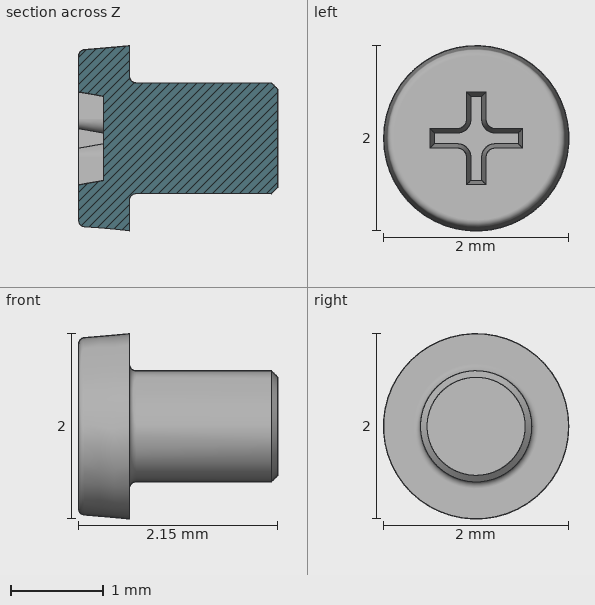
import cadquery as cq
import math

total_length = 2.15
head_diameter = 2.0
head_height = 0.55
head_draft = 5.0
head_edge_radius = 0.07
shank_diameter = 1.2
neck_fillet = 0.07
tip_chamfer = 0.07

recess_span = 1.0
recess_arm_width = 0.21
recess_corner_radius = 0.099
recess_depth = 0.269
recess_draft = 10.0


def make_body():
    """Revolve the drafted head and the shank, then round the head edge and the neck."""
    head_radius = head_diameter / 2
    face_radius = head_radius - head_height * math.tan(math.radians(head_draft))
    shank_radius = shank_diameter / 2
    body = (
        cq.Workplane("XY")
        .moveTo(0, 0)
        .lineTo(0, face_radius)
        .lineTo(head_height, head_radius)
        .lineTo(head_height, shank_radius)
        .lineTo(total_length - tip_chamfer, shank_radius)
        .lineTo(total_length, shank_radius - tip_chamfer)
        .lineTo(total_length, 0)
        .close()
        .revolve(360, (0, 0, 0), (1, 0, 0))
    )
    body = body.faces("<X").edges().fillet(head_edge_radius)
    neck_edge = cq.selectors.RadiusNthSelector(0)
    head_underside = cq.selectors.NearestToPointSelector((head_height, 0, 0))
    return body.faces("%PLANE").faces(head_underside).edges(neck_edge).fillet(neck_fillet)


def make_cross_recess():
    """Cross-shaped plug with rounded inner corners and drafted walls."""
    tip = recess_span / 2
    side = recess_arm_width / 2
    arm_root = side + recess_corner_radius
    arc_middle = arm_root - recess_corner_radius * math.sqrt(0.5)

    outline = cq.Workplane("YZ").moveTo(tip, -side)
    for quarter in range(4):
        angle = math.radians(90 * quarter)

        def turned(y, z):
            return (
                y * math.cos(angle) - z * math.sin(angle),
                y * math.sin(angle) + z * math.cos(angle),
            )

        outline = (
            outline.lineTo(*turned(tip, side))
            .lineTo(*turned(arm_root, side))
            .threePointArc(turned(arc_middle, arc_middle), turned(side, arm_root))
        )
        if quarter < 3:
            outline = outline.lineTo(*turned(side, tip))
    return outline.close().extrude(recess_depth, taper=recess_draft)


result = make_body().cut(make_cross_recess())